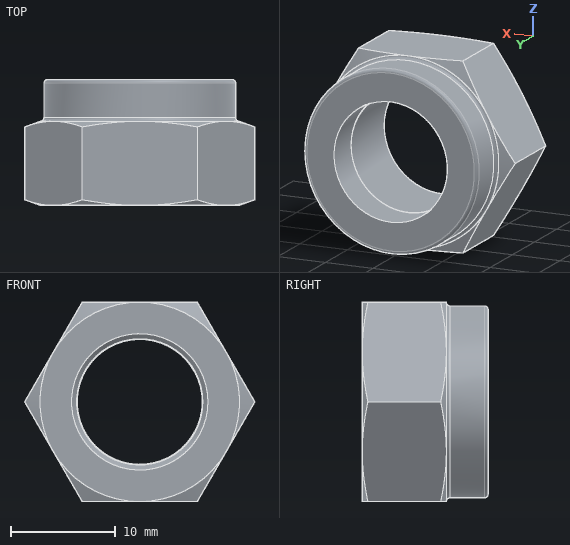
import cadquery as cq
import math

across_corners = 21.95
across_flats = across_corners * math.cos(math.radians(30))
hex_length = 8.0
corner_bevel_angle = 20.0

total_length = 12.0
collar_diameter = 18.3
collar_fillet = 0.35

bore_diameter = 12.02
bore_chamfer_radial = 0.48
bore_chamfer_angle = 45.0
collar_bore_diameter = 11.9
collar_bore_lead_in = 0.1

corner_radius = across_corners / 2
flat_radius = across_flats / 2
collar_radius = collar_diameter / 2
bore_radius = bore_diameter / 2


def revolve_about_y(profile):
    """Turn a closed profile of (radius, y) about the Y axis."""
    return profile.close().revolve(360, (0, 0, 0), (0, 1, 0))


def make_hexagon():
    """Hexagonal prism with a shallow conical bevel on the corners at both ends."""
    bevel_drop = (corner_radius - flat_radius) * math.tan(math.radians(corner_bevel_angle))
    prism = cq.Workplane("XZ").polygon(6, across_corners).extrude(-hex_length)
    envelope = revolve_about_y(
        cq.Workplane("XY")
        .lineTo(flat_radius, 0)
        .lineTo(corner_radius, bevel_drop)
        .lineTo(corner_radius, hex_length - bevel_drop)
        .lineTo(flat_radius, hex_length)
        .lineTo(0, hex_length)
    )
    return prism.intersect(envelope)


def make_collar():
    """Collar with a concave fillet at its root and a rounded outer rim."""
    root_end = hex_length + collar_fillet
    rim_start = total_length - collar_fillet
    arc_offset = collar_fillet * (1 - math.sqrt(0.5))
    core_start = hex_length / 2
    foot_radius = collar_radius + collar_fillet
    return revolve_about_y(
        cq.Workplane("XY")
        .moveTo(0, core_start)
        .lineTo(collar_radius, core_start)
        .lineTo(collar_radius, hex_length)
        .lineTo(foot_radius, hex_length)
        .threePointArc((collar_radius + arc_offset, hex_length + arc_offset), (collar_radius, root_end))
        .lineTo(collar_radius, rim_start)
        .threePointArc(
            (collar_radius - arc_offset, total_length - arc_offset),
            (collar_radius - collar_fillet, total_length),
        )
        .lineTo(0, total_length)
    )


def make_opening():
    """Bore with a front chamfer, tapering into the slightly narrower collar bore."""
    mouth_radius = bore_radius + bore_chamfer_radial
    chamfer_depth = bore_chamfer_radial * math.tan(math.radians(bore_chamfer_angle))
    collar_bore_radius = collar_bore_diameter / 2
    return revolve_about_y(
        cq.Workplane("XY")
        .lineTo(mouth_radius, 0)
        .lineTo(bore_radius, chamfer_depth)
        .lineTo(bore_radius, hex_length)
        .lineTo(collar_bore_radius, hex_length + collar_bore_lead_in)
        .lineTo(collar_bore_radius, total_length)
        .lineTo(0, total_length)
    )


result = make_hexagon().union(make_collar()).cut(make_opening())